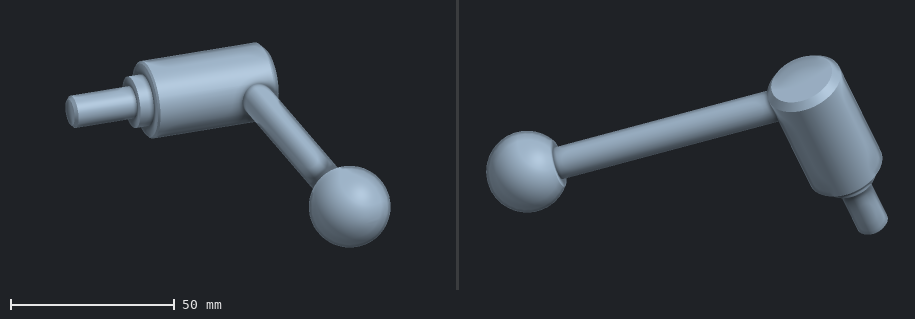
import cadquery as cq

hub_diameter = 24.0
hub_length = 40.0
hub_back = 7.6
back_chamfer = 2.1
front_chamfer = 0.6

collar_diameter = 16.0
collar_length = 4.4
stud_diameter = 10.0
stud_length = 20.0
stud_chamfer = 0.9

arm_diameter = 10.0
ball_diameter = 25.0
overall_length = 116.5
ball_flat_offset = 10.1

hub_front = hub_back - hub_length
collar_front = hub_front - collar_length
ball_center = overall_length - hub_diameter / 2 - ball_diameter / 2
ball_flat = ball_center - ball_flat_offset


def cylinder_toward_front(diameter, back, length):
    """Cylinder on the Y axis, running from y = back toward -Y."""
    return cq.Workplane("XZ", origin=(0, back, 0)).circle(diameter / 2).extrude(length)


def make_hub():
    hub = cylinder_toward_front(hub_diameter, hub_back, hub_length)
    return hub.faces(">Y").chamfer(back_chamfer).faces("<Y").chamfer(front_chamfer)


def make_stud():
    collar = cylinder_toward_front(collar_diameter, hub_front, collar_length)
    stud = cylinder_toward_front(stud_diameter, collar_front, stud_length)
    return collar.union(stud.faces("<Y").chamfer(stud_chamfer))


def make_arm():
    return cq.Workplane("YZ").circle(arm_diameter / 2).extrude(ball_flat)


def make_ball():
    """Ball knob turned about the arm axis, cut flat where the arm enters."""
    radius = ball_diameter / 2
    flat_radius = (radius**2 - ball_flat_offset**2) ** 0.5
    return (
        cq.Workplane("XY")
        .moveTo(ball_flat, 0)
        .lineTo(ball_flat, flat_radius)
        .threePointArc((ball_center, radius), (ball_center + radius, 0))
        .close()
        .revolve(360, (0, 0, 0), (1, 0, 0))
    )


result = make_hub().union(make_stud()).union(make_arm()).union(make_ball())